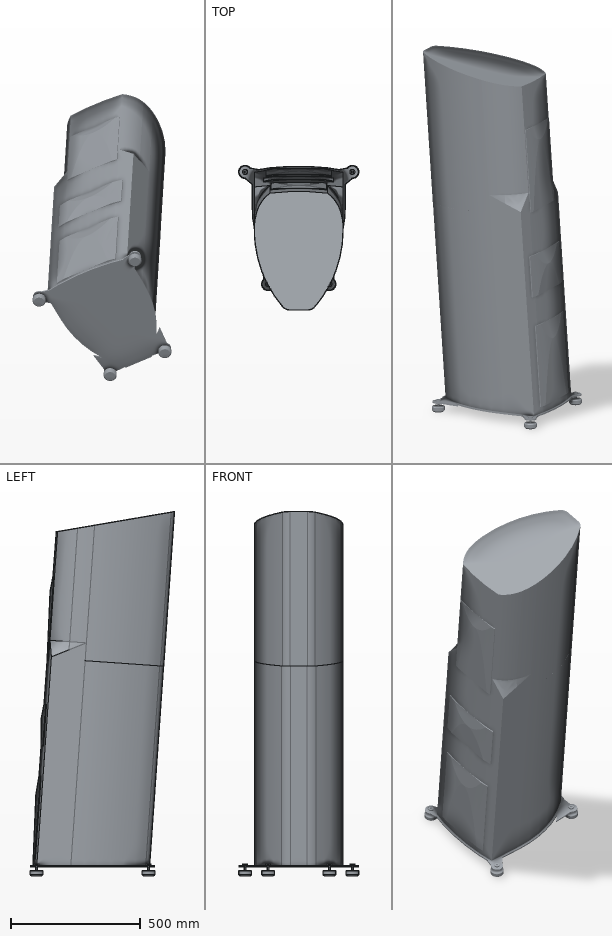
import cadquery as cq
import math

total_height = 1405
total_depth = 558.0
rear_reach_y = total_depth / 2
front_top_y = -total_depth / 2

foot_diameter = 50.0
foot_height = 21.0
foot_bottom_chamfer = 5.0
foot_top_chamfer = 2.1
stud_diameter = 8.0
cap_diameter = 20.0
cap_height = 5.0
socket_diameter = 8.0
socket_depth = 3.0
rear_foot_x = 207.0
rear_foot_y = rear_reach_y - foot_diameter / 2
front_foot_x = 118.0
front_foot_y = -178.0
foot_places = [
    (side * x, y)
    for side in (-1, 1)
    for x, y in ((rear_foot_x, rear_foot_y), (front_foot_x, front_foot_y))
]

plate_bottom = 35.0
plate_thickness = 5.0
plate_top = plate_bottom + plate_thickness
plate_margin = 8.0
ear_diameter = 46.0
neck_half_width = 20.0
rear_neck_roots = [(162.0, 264.0), (175.0, 202.0)]
front_neck_roots = [(143.0, -85.0), (35.0, -185.0)]

lean_angle = 4
top_slope = 9.7
waist_level = 783.0
shoulder_level = 852.0
shoulder_drop = 63.0
end_allowance = 70

lean = math.radians(lean_angle)
front_y = front_top_y * math.cos(lean) + (total_height - plate_top) * math.sin(lean)
head_front_half_width = 50.0
lower_front_half_width = 52.0
lower_setback = 0.4
half_width = 171.0
side_end_y = 121.0
cheek_x = 163.0
cheek_y = 185.0
back_half_width = 111.0
back_y = 261.0
crown_rise = 6.3
crown_y = back_y + crown_rise
rear_corner_y = 252.0
head_fillet = 38.0
lower_fillet = 44.0

cover_rise = 7.0
cover_side_rise = 3.0
cover_root_y = 253.0
covers = [
    (1099.0, 1040.0, 773.0, 107.0),
    (605.0, 548.0, 443.0, 135.0),
    (327.0, 253.0, 7.0, 126.0),
]


def point_on_arc(start, end, radius):
    """Middle point of the arc from start to end that bulges to the right of that direction."""
    dx = end[0] - start[0]
    dy = end[1] - start[1]
    chord = math.hypot(dx, dy)
    bulge = radius - math.sqrt(radius**2 - chord**2 / 4)
    return (
        (start[0] + end[0]) / 2 + bulge * dy / chord,
        (start[1] + end[1]) / 2 - bulge * dx / chord,
    )


def mirrored(point):
    return (-point[0], point[1])


side_end = (half_width, side_end_y)
cheek = (cheek_x, cheek_y)
back_end = (back_half_width, back_y)
rear_corner = (half_width, rear_corner_y)

cheek_inset = half_width - cheek_x
cheek_length = cheek_y - side_end_y
cheek_radius = (cheek_inset**2 + cheek_length**2) / (2 * cheek_inset)
cheek_turn = math.asin(cheek_length / cheek_radius)
corner_turn = math.atan2(cheek_x - back_half_width, back_y - cheek_y) - cheek_turn
corner_chord = math.hypot(cheek_x - back_half_width, back_y - cheek_y)
back_corner_radius = corner_chord / (2 * math.sin(corner_turn))
cheek_middle = point_on_arc(side_end, cheek, cheek_radius)
back_corner_middle = point_on_arc(cheek, back_end, back_corner_radius)
back_radius = (back_half_width**2 + (crown_y - back_y) ** 2) / (2 * (crown_y - back_y))


def side_middle(front_corner):
    """Middle point of the bowed side, which ends parallel to the flank."""
    width = half_width - front_corner[0]
    length = side_end_y - front_corner[1]
    return point_on_arc(front_corner, side_end, (width**2 + length**2) / (2 * width))


def front_and_right_side(level, front_corner):
    """Start of an outline: front edge and bowed right side."""
    return (
        cq.Workplane("XY", origin=(0, 0, level))
        .moveTo(*mirrored(front_corner))
        .lineTo(*front_corner)
        .threePointArc(side_middle(front_corner), side_end)
    )


def close_left_side(outline, front_corner):
    """End of an outline: bowed left side back to its start."""
    return outline.threePointArc(mirrored(side_middle(front_corner)), mirrored(front_corner)).close()


def lower_outline(level):
    """Bowed sides, straight rear flanks and a crowned back."""
    front_corner = (lower_front_half_width, front_y + lower_setback)
    outline = (
        front_and_right_side(level, front_corner)
        .lineTo(*rear_corner)
        .lineTo(*back_end)
        .threePointArc((0, crown_y), mirrored(back_end))
        .lineTo(*mirrored(rear_corner))
        .lineTo(*mirrored(side_end))
    )
    return close_left_side(outline, front_corner)


def head_outline(level):
    """Bowed sides, rounded rear corners and the same crowned back."""
    front_corner = (head_front_half_width, front_y)
    outline = (
        front_and_right_side(level, front_corner)
        .threePointArc(cheek_middle, cheek)
        .threePointArc(back_corner_middle, back_end)
        .threePointArc((0, crown_y), mirrored(back_end))
        .threePointArc(mirrored(back_corner_middle), mirrored(cheek))
        .threePointArc(mirrored(cheek_middle), mirrored(side_end))
    )
    return close_left_side(outline, front_corner)


def round_front(section, radius):
    """Round the two upright front corners of a cabinet section."""
    return section.faces("<Y").edges("|Z").fillet(radius)


def make_shoulder():
    """Right shoulder: ruled top from the head's rear corner down to a straight flank edge."""

    def raised(point, level):
        return cq.Vector(*point, level)

    def line(start, end):
        return cq.Edge.makeLine(start, end)

    def arc(start, middle, end, level):
        return cq.Edge.makeThreePointArc(raised(start, level), raised(middle, level), raised(end, level))

    def head_arcs(level):
        return [
            arc(side_end, cheek_middle, cheek, level),
            arc(cheek, back_corner_middle, back_end, level),
        ]

    tip = raised(side_end, shoulder_level)
    low_corner = raised(rear_corner, shoulder_level - shoulder_drop)
    flank_middle = (tip + low_corner) * 0.5
    inner_top = raised(back_end, shoulder_level)
    floor_tip = raised(side_end, waist_level)
    floor_corner = raised(rear_corner, waist_level)
    floor_inner = raised(back_end, waist_level)

    upper_arcs = head_arcs(shoulder_level)
    floor_arcs = head_arcs(waist_level)
    flank_edges = [line(tip, flank_middle), line(flank_middle, low_corner)]

    top_faces = [
        cq.Face.makeRuledSurface(upper, flank) for upper, flank in zip(upper_arcs, flank_edges)
    ]
    inner_faces = [
        cq.Face.makeRuledSurface(floor, upper) for floor, upper in zip(floor_arcs, upper_arcs)
    ]
    floor_wire = cq.Wire.assembleEdges(
        [*floor_arcs, line(floor_inner, floor_corner), line(floor_corner, floor_tip)]
    )
    flank_wire = cq.Wire.makePolygon([floor_tip, floor_corner, low_corner, flank_middle, tip], close=True)
    rear_wire = cq.Wire.makePolygon([floor_inner, floor_corner, low_corner, inner_top], close=True)
    flat_faces = [cq.Face.makeFromWires(wire) for wire in (floor_wire, flank_wire, rear_wire)]
    shell = cq.Shell.makeShell([*top_faces, *inner_faces, *flat_faces])
    return cq.Workplane(cq.Solid.makeSolid(shell).fix())


def make_cover(start_level, ridge_level, end_level, cover_half_width):
    """Low cover on the back, bowed across its width and highest along its ridge level."""
    ridge_y = crown_y + cover_rise
    edge_y = crown_y - cover_half_width**2 / (2 * back_radius) + cover_side_rise
    profile = (
        cq.Workplane("YZ")
        .polyline([
            (cover_root_y, start_level),
            (crown_y, start_level),
            (ridge_y, ridge_level),
            (crown_y, end_level),
            (cover_root_y, end_level),
        ])
        .close()
        .extrude(cover_half_width, both=True)
    )
    bow = (
        cq.Workplane("XY", origin=(0, 0, end_level))
        .moveTo(-cover_half_width, cover_root_y)
        .lineTo(-cover_half_width, edge_y)
        .threePointArc((0, ridge_y), (cover_half_width, edge_y))
        .lineTo(cover_half_width, cover_root_y)
        .close()
        .extrude(start_level - end_level)
    )
    return profile.intersect(bow)


def make_cabinet():
    lower = lower_outline(-end_allowance).extrude(waist_level + end_allowance)
    lower = round_front(lower, lower_fillet)
    head = head_outline(waist_level).extrude(total_height + end_allowance - waist_level)
    head = round_front(head, head_fillet)
    shoulder = make_shoulder()
    cabinet = lower.union(head).union(shoulder).union(shoulder.mirror("YZ"))
    for cover in covers:
        cabinet = cabinet.union(make_cover(*cover))
    cabinet = cabinet.rotate((0, 0, 0), (1, 0, 0), lean_angle).translate((0, 0, plate_top))

    rear_limit = rear_reach_y + end_allowance
    front_limit = front_top_y - end_allowance
    fall = math.tan(math.radians(top_slope))
    envelope = (
        cq.Workplane("YZ")
        .polyline([
            (front_limit, plate_top),
            (rear_limit, plate_top),
            (rear_limit, total_height - (rear_limit - front_top_y) * fall),
            (front_limit, total_height + end_allowance * fall),
        ])
        .close()
        .extrude(half_width + end_allowance, both=True)
    )
    return cabinet.intersect(envelope)


def make_ear(side, foot, roots):
    """Rounded lug around a foot, with a neck that widens to its two roots under the cabinet."""
    x, y = foot
    root_x = (roots[0][0] + roots[1][0]) / 2
    root_y = (roots[0][1] + roots[1][1]) / 2
    neck_angle = math.atan2(y - root_y, x - root_x)
    across_x = -neck_half_width * math.sin(neck_angle)
    across_y = neck_half_width * math.cos(neck_angle)
    neck_points = [(x - across_x, y - across_y), (x + across_x, y + across_y), *roots]

    lug = cq.Workplane("XY", origin=(side * x, y, plate_bottom)).circle(ear_diameter / 2)
    neck = (
        cq.Workplane("XY", origin=(0, 0, plate_bottom))
        .polyline([(side * u, v) for u, v in neck_points]).close()
    )
    return lug.extrude(plate_thickness).union(neck.extrude(plate_thickness))


def make_plate():
    """Flat plate that follows the cabinet outline, with an ear for each foot."""
    plate = lower_outline(plate_bottom).offset2D(plate_margin).extrude(plate_thickness)
    for side in (-1, 1):
        plate = plate.union(make_ear(side, (rear_foot_x, rear_foot_y), rear_neck_roots))
        plate = plate.union(make_ear(side, (front_foot_x, front_foot_y), front_neck_roots))
    stud_holes = (
        cq.Workplane("XY", origin=(0, 0, plate_bottom)).pushPoints(foot_places)
        .circle(stud_diameter / 2).extrude(plate_thickness)
    )
    return plate.cut(stud_holes)


def make_foot(x, y):
    """Levelling foot: chamfered disc, stud through the plate and socketed cap."""
    disc = (
        cq.Workplane("XY").circle(foot_diameter / 2).extrude(foot_height)
        .faces("<Z").chamfer(foot_bottom_chamfer)
        .faces(">Z").chamfer(foot_top_chamfer)
    )
    stud = (
        cq.Workplane("XY", origin=(0, 0, foot_height))
        .circle(stud_diameter / 2).extrude(plate_top - foot_height)
    )
    cap = (
        cq.Workplane("XY", origin=(0, 0, plate_top)).circle(cap_diameter / 2).extrude(cap_height)
        .faces(">Z").workplane().hole(socket_diameter, socket_depth)
    )
    return disc.union(stud).union(cap).translate((x, y, 0))


cabinet = make_cabinet()
plate = make_plate()
feet = [make_foot(x, y) for x, y in foot_places]
result = cq.Compound.makeCompound([cabinet.val(), plate.val(), *[foot.val() for foot in feet]])